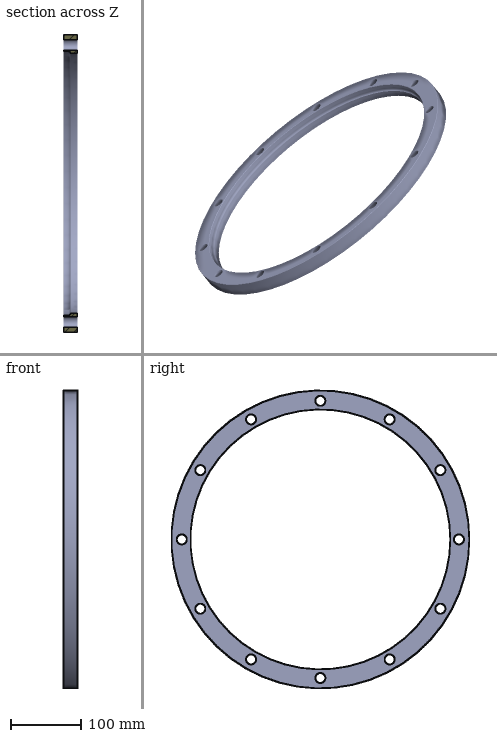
import cadquery as cq

outer_diameter = 425.0
bore_diameter = 370.0
thickness = 20.0

recess_depth = 10.0
recess_step = 3.0
recess_diameter = bore_diameter + 2 * recess_step

edge_chamfer = 0.5

bolt_count = 12
bolt_circle_diameter = 395.0
bolt_hole_diameter = 14.0


def ring_body():
    """Recessed ring, revolved about the X axis from its half section."""
    outer_radius = outer_diameter / 2
    bore_radius = bore_diameter / 2
    recess_radius = recess_diameter / 2
    corner_start = recess_depth - recess_step
    return (
        cq.Workplane("XY")
        .moveTo(0, outer_radius - edge_chamfer)
        .lineTo(edge_chamfer, outer_radius)
        .lineTo(thickness, outer_radius)
        .lineTo(thickness, bore_radius)
        .lineTo(recess_depth, bore_radius)
        .radiusArc((corner_start, recess_radius), -recess_step)
        .lineTo(edge_chamfer, recess_radius)
        .lineTo(0, recess_radius + edge_chamfer)
        .close()
        .revolve(360, (0, 0, 0), (1, 0, 0))
    )


def bolt_holes():
    """Through-hole cutters evenly spaced on the bolt circle, one on the +Y axis."""
    return (
        cq.Workplane("YZ")
        .polarArray(bolt_circle_diameter / 2, 0, 360, bolt_count)
        .circle(bolt_hole_diameter / 2)
        .extrude(thickness)
    )


result = ring_body().cut(bolt_holes())